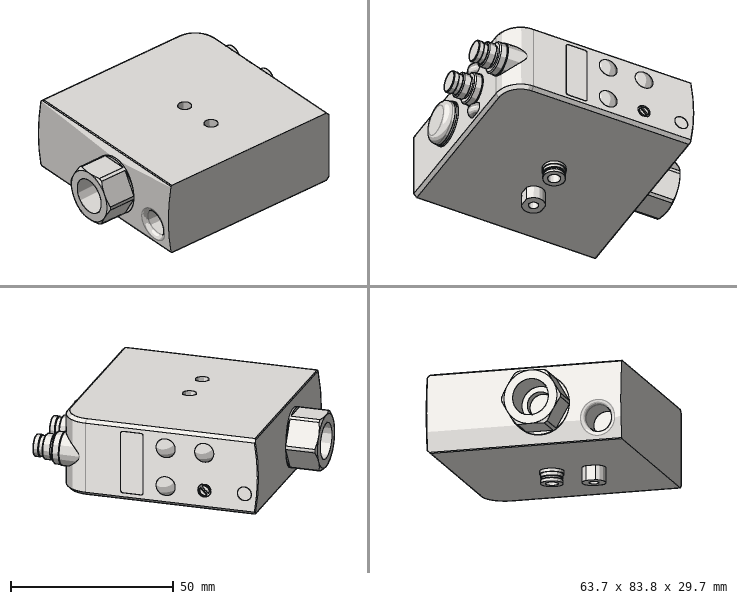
import cadquery as cq
import math


WIDTH = 62.7
LENGTH = 64.6
HEIGHT = 25.0
CORNER_RADIUS = 8.6
EDGE_CHAMFER = 1.1
CROWN_RISE = 1.1
FRONT_CHAMFER = 0.3

BUTTON_DIAMETER = 6.2
BUTTON_RISE = 0.98
BUTTON_PITCH = 12.5
BUTTON_REAR_Y = -34.6
SCREW_DIAMETER = 4.2
SCREW_CORE_DIAMETER = 3.1
SCREW_DEPTH = 0.6
SCREW_SLOT_WIDTH = 0.8
SCREW_SLOT_ANGLE = 45.0
LABEL_Y = -23.65
LABEL_WIDTH = 7.3
LABEL_HEIGHT = 20.3
LABEL_CORNER = 0.8
MARK_Y = -60.1
MARK_Z = -5.75
MARK_DIAMETER = 4.5
MARK_DEPTH = 0.1

CONNECTOR_XS = (5.6, 22.1)
CONNECTOR_LENGTH = 9.2
FOOT_RADIUS = 5.3
FOOT_TOP = 0.3
BASE_RADIUS = 5.1
BASE_TOP = 2.7
BASE_CHAMFER = 0.4
NECK_RADIUS = 3.55
NECK_TOP = 3.5
COLLAR_RADIUS = 4.05
COLLAR_TOP = 6.05
COLLAR_CHAMFER = 0.35
GROOVE_RADIUS = 3.25
GROOVE_TOP = 7.3
HEAD_RADIUS = 3.5
HEAD_CHAMFER = 0.25
BOSS_DIAMETER = 10.7
KNOB_X = CONNECTOR_XS[1]
KNOB_RADIUS = 3.0
KNOB_RISE = 2.3
KNOB_THICKNESS = 3.5
KNOB_ROUND = 1.6
KNOB_OUTER_Z = 9.83
CAP_X = 40.4
CAP_HEIGHT = 4.0
CAP_FOOT_RADIUS = 7.3
CAP_FOOT_TOP = 0.5
CAP_STEP_RADIUS = 7.15
CAP_STEP_TOP = 1.05
CAP_BODY_RADIUS = 7.0
CAP_RIM_ROUND = 2.1

PORT_X = 55.2
PORT_Z = -5.25
PORT_DIAMETER = 8.3
PORT_ROUND = 1.35
PORT_DEPTH = 10.0
FITTING_X = 36.7
FITTING_LENGTH = 10.0
FITTING_FLATS = 17.0
FITTING_HEX_TURN = 30.0
FITTING_DIAMETER = 19.0
FITTING_SEAT_DEPTH = 3.0
FITTING_BORE = 11.5
FITTING_BORE_DEPTH = 10.0
FITTING_INNER_BORE = 8.1
FITTING_END_CHAMFER_ANGLE = 30.0

HOLE_Y = -32.0
HOLE_DIAMETER = 4.3
BARB_HOLE_X = 31.6
BARB_X = 30.7
BARB_BORE = 4.0
BARB_LENGTH = 4.0
BARB_FLANGE_RADIUS = 3.75
BARB_FLANGE_HEIGHT = 1.0
BARB_RADIUS = 3.5
BARB_GROOVE_DEPTH = 0.2
BARB_GROOVE_WIDTH = 0.9
BARB_GROOVE_DROP = 2.1
NIPPLE_X = 44.25
NIPPLE_BORE = 3.1
NIPPLE_LENGTH = 4.7
NIPPLE_DIAMETER = 7.4
NIPPLE_FLATS = 6.7

CLEARANCE = 1.0


def cylinder_y(diameter, y_front, y_rear, x, z=0.0):
    """Cylinder along Y between two Y positions."""
    return (
        cq.Workplane("XZ", origin=(x, y_rear, z))
        .circle(diameter / 2)
        .extrude(y_rear - y_front)
    )


def on_left_wall(y, z, depth=0.0):
    """Workplane facing +X, set a depth inside the left wall."""
    return cq.Workplane("YZ", origin=(depth, y, z))


def revolve_y(profile, x):
    """Turn (radius, y) points around the Y axis through x."""
    return (
        cq.Workplane("XY", origin=(x, 0, 0))
        .polyline(profile)
        .close()
        .revolve(360, (0, 0, 0), (0, 1, 0))
    )


def revolve_z(profile, x, y):
    """Turn (radius, z) points around the vertical axis through x, y."""
    return (
        cq.Workplane("XZ", origin=(x, y, 0))
        .polyline(profile)
        .close()
        .revolve(360, (0, 0, 0), (0, 1, 0))
    )


def make_block():
    """Chamfered block with one round corner and a front face crowned about X."""
    plan = (
        cq.Workplane("XY", origin=(0, 0, -HEIGHT / 2))
        .moveTo(0, -LENGTH - CLEARANCE)
        .lineTo(WIDTH, -LENGTH - CLEARANCE)
        .lineTo(WIDTH, 0)
        .lineTo(CORNER_RADIUS, 0)
        .radiusArc((0, -CORNER_RADIUS), -CORNER_RADIUS)
        .close()
        .extrude(HEIGHT)
    )
    rims = plan.faces("<Z or >Z").edges("not(>X or <Y)")
    plan = rims.chamfer(EDGE_CHAMFER)

    half = HEIGHT / 2
    crown_end_y = -LENGTH + CROWN_RISE
    crown_end_z = half - FRONT_CHAMFER
    side = (
        cq.Workplane("YZ")
        .moveTo(0, -half)
        .lineTo(crown_end_y + FRONT_CHAMFER, -half)
        .lineTo(crown_end_y, -crown_end_z)
        .threePointArc((-LENGTH, 0), (crown_end_y, crown_end_z))
        .lineTo(crown_end_y + FRONT_CHAMFER, half)
        .lineTo(0, half)
        .close()
        .extrude(WIDTH)
    )
    block = plan.intersect(side)
    return block.faces("<Y").edges("<X").chamfer(FRONT_CHAMFER)


def make_button(y, z):
    """Shallow spherical dome standing on the left wall."""
    radius = ((BUTTON_DIAMETER / 2) ** 2 + BUTTON_RISE**2) / (2 * BUTTON_RISE)
    ball = cq.Workplane("XY", origin=(radius - BUTTON_RISE, y, z)).sphere(radius)
    disc = on_left_wall(y, z, CLEARANCE).circle(BUTTON_DIAMETER / 2).extrude(-2 * CLEARANCE)
    return ball.intersect(disc)


def make_screw_recess(y, z):
    """Ring groove and diagonal slot that leave a slotted screw head."""
    ring = (
        on_left_wall(y, z)
        .circle(SCREW_DIAMETER / 2)
        .circle(SCREW_CORE_DIAMETER / 2)
        .extrude(SCREW_DEPTH)
    )
    slot = (
        on_left_wall(y, z)
        .transformed(rotate=(0, 0, SCREW_SLOT_ANGLE))
        .rect(SCREW_CORE_DIAMETER, SCREW_SLOT_WIDTH)
        .extrude(SCREW_DEPTH)
    )
    return ring.union(slot)


def make_knob(side):
    """Rounded disc, half sunk in the rear wall, above or below a connector."""
    z_centre = side * (KNOB_OUTER_Z - KNOB_THICKNESS / 2)
    return (
        cq.Workplane("XY", origin=(KNOB_X, KNOB_RISE - KNOB_RADIUS, z_centre))
        .circle(KNOB_RADIUS)
        .extrude(KNOB_THICKNESS / 2, both=True)
        .edges()
        .fillet(KNOB_ROUND)
    )


def cut_port(block):
    """Sink the blind front port into the block and round its mouth."""
    front_y = -LENGTH - CLEARANCE
    ported = block.cut(cylinder_y(PORT_DIAMETER, front_y, -LENGTH + PORT_DEPTH, PORT_X, PORT_Z))
    mouth = cq.selectors.BoxSelector(
        (PORT_X - CLEARANCE, front_y, PORT_Z - CLEARANCE),
        (PORT_X + CLEARANCE, -LENGTH + CROWN_RISE, PORT_Z + CLEARANCE),
    )
    return ported.edges(mouth).fillet(PORT_ROUND)


def make_housing():
    housing = cut_port(make_block())
    boss_x = CONNECTOR_XS[0]
    housing = housing.union(cylinder_y(BOSS_DIAMETER, -CORNER_RADIUS, 0, boss_x))

    front_y = BUTTON_REAR_Y - BUTTON_PITCH
    half_pitch = BUTTON_PITCH / 2
    for y, z in ((BUTTON_REAR_Y, half_pitch), (BUTTON_REAR_Y, -half_pitch), (front_y, half_pitch)):
        housing = housing.union(make_button(y, z))
    housing = housing.cut(make_screw_recess(front_y, -half_pitch))

    label = (
        on_left_wall(LABEL_Y, 0)
        .rect(LABEL_WIDTH, LABEL_HEIGHT)
        .extrude(MARK_DEPTH)
        .edges("|X")
        .fillet(LABEL_CORNER)
    )
    mark = on_left_wall(MARK_Y, MARK_Z).circle(MARK_DIAMETER / 2).extrude(MARK_DEPTH)
    housing = housing.cut(label).cut(mark)

    for side in (-1, 1):
        housing = housing.union(make_knob(side))

    seat_end = -LENGTH + FITTING_SEAT_DEPTH
    seat = cylinder_y(FITTING_DIAMETER, -LENGTH - CLEARANCE, seat_end, FITTING_X)
    housing = housing.cut(seat)

    holes = (
        cq.Workplane("XY", origin=(0, 0, -HEIGHT / 2))
        .pushPoints([(BARB_HOLE_X, HOLE_Y), (NIPPLE_X, HOLE_Y)])
        .circle(HOLE_DIAMETER / 2)
        .extrude(HEIGHT)
    )
    return housing.cut(holes)


def make_fitting():
    """Hexagonal port fitting with turned corners, on a round seat in the housing."""
    seat_end = -LENGTH + FITTING_SEAT_DEPTH
    end = -LENGTH - FITTING_LENGTH
    seat = cylinder_y(FITTING_DIAMETER, -LENGTH, seat_end, FITTING_X)

    hexagon = (
        cq.Workplane("XZ", origin=(FITTING_X, -LENGTH, 0))
        .transformed(rotate=(0, 0, FITTING_HEX_TURN))
        .polygon(6, FITTING_FLATS, circumscribed=True)
        .extrude(FITTING_LENGTH)
    )
    radius = FITTING_DIAMETER / 2
    face_radius = FITTING_FLATS / 2
    chamfer = (radius - face_radius) * math.tan(math.radians(FITTING_END_CHAMFER_ANGLE))
    turned = revolve_y(
        [(0, -LENGTH), (radius, -LENGTH), (radius, end + chamfer), (face_radius, end), (0, end)],
        FITTING_X,
    )
    fitting = seat.union(hexagon.intersect(turned))
    bore = cylinder_y(FITTING_BORE, end, end + FITTING_BORE_DEPTH, FITTING_X)
    inner_bore = cylinder_y(FITTING_INNER_BORE, end, seat_end, FITTING_X)
    return fitting.cut(bore).cut(inner_bore)


def make_connector(x):
    """Plug connector: stepped base, neck, collar, groove and head, turned about Y."""
    profile = [
        (0, 0),
        (FOOT_RADIUS, 0),
        (FOOT_RADIUS, FOOT_TOP),
        (BASE_RADIUS, FOOT_TOP),
        (BASE_RADIUS, BASE_TOP - BASE_CHAMFER),
        (BASE_RADIUS - BASE_CHAMFER, BASE_TOP),
        (NECK_RADIUS, BASE_TOP),
        (NECK_RADIUS, NECK_TOP),
        (COLLAR_RADIUS, NECK_TOP),
        (COLLAR_RADIUS, COLLAR_TOP - COLLAR_CHAMFER),
        (COLLAR_RADIUS - COLLAR_CHAMFER, COLLAR_TOP),
        (GROOVE_RADIUS, COLLAR_TOP),
        (GROOVE_RADIUS, GROOVE_TOP),
        (HEAD_RADIUS, GROOVE_TOP + HEAD_CHAMFER),
        (HEAD_RADIUS, CONNECTOR_LENGTH - HEAD_CHAMFER),
        (HEAD_RADIUS - HEAD_CHAMFER, CONNECTOR_LENGTH),
        (0, CONNECTOR_LENGTH),
    ]
    return revolve_y(profile, x)


def make_cap():
    """Round exhaust cap with a stepped foot and a rounded top rim."""
    return (
        cq.Workplane("XY", origin=(CAP_X, 0, 0))
        .moveTo(0, 0)
        .lineTo(CAP_FOOT_RADIUS, 0)
        .lineTo(CAP_FOOT_RADIUS, CAP_FOOT_TOP)
        .lineTo(CAP_STEP_RADIUS, CAP_FOOT_TOP)
        .lineTo(CAP_STEP_RADIUS, CAP_STEP_TOP)
        .lineTo(CAP_BODY_RADIUS, CAP_STEP_TOP)
        .lineTo(CAP_BODY_RADIUS, CAP_HEIGHT - CAP_RIM_ROUND)
        .radiusArc((CAP_BODY_RADIUS - CAP_RIM_ROUND, CAP_HEIGHT), -CAP_RIM_ROUND)
        .lineTo(0, CAP_HEIGHT)
        .close()
        .revolve(360, (0, 0, 0), (0, 1, 0))
    )


def make_barb():
    """Grooved hose tube on the underside."""
    top = -HEIGHT / 2
    bottom = top - BARB_LENGTH
    flange_bottom = top - BARB_FLANGE_HEIGHT
    groove_top = top - BARB_GROOVE_DROP
    groove_bottom = groove_top - BARB_GROOVE_WIDTH
    groove_radius = BARB_RADIUS - BARB_GROOVE_DEPTH
    profile = [
        (BARB_BORE / 2, top),
        (BARB_FLANGE_RADIUS, top),
        (BARB_FLANGE_RADIUS, flange_bottom),
        (BARB_RADIUS, flange_bottom),
        (BARB_RADIUS, groove_top),
        (groove_radius, groove_top - BARB_GROOVE_DEPTH),
        (groove_radius, groove_bottom + BARB_GROOVE_DEPTH),
        (BARB_RADIUS, groove_bottom),
        (BARB_RADIUS, bottom),
        (BARB_BORE / 2, bottom),
    ]
    return revolve_z(profile, BARB_X, HOLE_Y)


def make_nipple():
    """Round tube on the underside with two flats facing front and rear."""
    blank = (
        cq.Workplane("XY", origin=(NIPPLE_X, HOLE_Y, -HEIGHT / 2))
        .circle(NIPPLE_DIAMETER / 2)
        .circle(NIPPLE_BORE / 2)
        .extrude(-NIPPLE_LENGTH)
    )
    flats = (
        cq.Workplane("XY", origin=(NIPPLE_X, HOLE_Y, -HEIGHT / 2))
        .rect(NIPPLE_DIAMETER, NIPPLE_FLATS)
        .extrude(-NIPPLE_LENGTH)
    )
    return blank.intersect(flats)


housing = make_housing()
fitting = make_fitting()
connectors = [make_connector(x) for x in CONNECTOR_XS]
cap = make_cap()
barb = make_barb()
nipple = make_nipple()

result = cq.Compound.makeCompound(
    [
        housing.val(),
        fitting.val(),
        *[connector.val() for connector in connectors],
        cap.val(),
        barb.val(),
        nipple.val(),
    ]
)